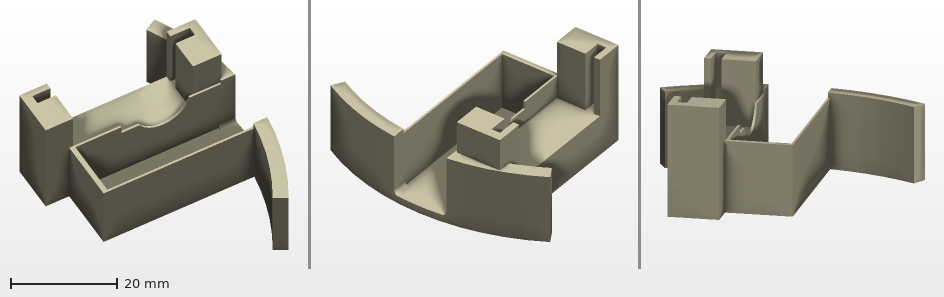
import cadquery as cq
import math

plate_radius = 51.0
plate_thickness = 3.0
plate_half_angle = math.radians(30)
plate_height = 15.0
plate_back = 41.2
plate_center_y = plate_back - plate_radius

box_width = 13.05
box_front = 5.1
box_height = 14.0
side_wall = 0.45
front_wall = 1.05
floor_thickness = 1.65
pocket_back = 37.25
pocket_width = box_width - 2 * side_wall
notch_fillet = 1.0

scoop_radius = 6.0
scoop_y = 25.15
scoop_bottom = 9.6
step_front = 16.15
step_bottom = 12.35

block_width = 10.0
block_length = 38.15
block_height = 22.0
saddle_front = 5.95
saddle_back = 31.95
saddle_height = 9.0
slot_offset = 1.4
slot_width = 2.0
slot_front = 2.05
slot_back = 36.15


def box_between(x, y, z):
    """Box spanning the given (low, high) pair along each axis."""
    size = (x[1] - x[0], y[1] - y[0], z[1] - z[0])
    return cq.Workplane("XY").box(*size, centered=False).translate((x[0], y[0], z[0]))


def plate_point(radius, angle):
    """Point on the plate's arc, with the angle measured from +Y."""
    return (radius * math.sin(angle), plate_center_y + radius * math.cos(angle))


def back_plate():
    inner_radius = plate_radius - plate_thickness
    return (
        cq.Workplane("XY")
        .moveTo(*plate_point(plate_radius, -plate_half_angle))
        .threePointArc(plate_point(plate_radius, 0), plate_point(plate_radius, plate_half_angle))
        .lineTo(*plate_point(inner_radius, plate_half_angle))
        .threePointArc(plate_point(inner_radius, 0), plate_point(inner_radius, -plate_half_angle))
        .close()
        .extrude(plate_height)
    )


def box_body():
    box_back = plate_back - plate_thickness / 2
    half_width = box_width / 2
    return box_between((-half_width, half_width), (box_front, box_back), (0, box_height))


def pocket():
    half_width = pocket_width / 2
    return box_between(
        (-half_width, half_width),
        (box_front + front_wall, pocket_back),
        (floor_thickness, plate_height),
    )


def plate_notch():
    """Opening from the pocket through the plate, with rounded lower corners."""
    half_width = pocket_width / 2
    notch = box_between(
        (-half_width, half_width), (pocket_back, plate_back), (floor_thickness, plate_height)
    )
    return notch.edges("|Y and <Z").fillet(notch_fillet)


def wall_cutout():
    """Round scoop and shallow step through the left box wall."""
    wall_x = (-box_width / 2, -pocket_width / 2)
    scoop = (
        cq.Workplane("YZ", origin=(wall_x[0], 0, 0))
        .center(scoop_y, scoop_bottom + scoop_radius)
        .circle(scoop_radius)
        .extrude(side_wall)
    )
    step = box_between(wall_x, (step_front, scoop_y), (step_bottom, box_height))
    return scoop.union(step)


def clamp_block():
    right = -box_width / 2
    left = right - block_width
    slot_left = left + slot_offset
    block = box_between((left, right), (0, block_length), (0, block_height))
    saddle = box_between(
        (left, right), (saddle_front, saddle_back), (saddle_height, block_height)
    )
    slot = box_between(
        (slot_left, slot_left + slot_width), (slot_front, slot_back), (saddle_height, block_height)
    )
    return block.cut(saddle).cut(slot)


holder = back_plate().union(box_body()).cut(pocket()).cut(plate_notch()).cut(wall_cutout())
result = holder.union(clamp_block())